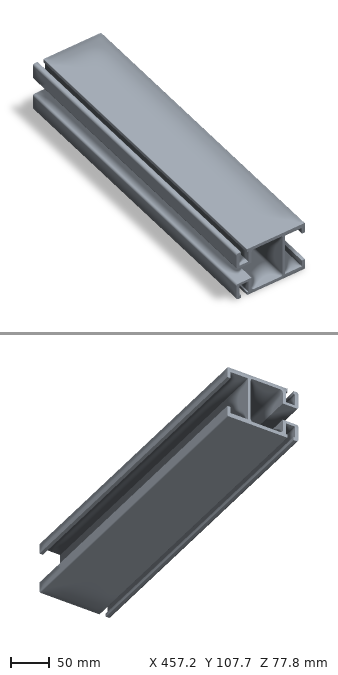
import cadquery as cq

LENGTH = 457.2
DEPTH = 107.7
HEIGHT = 77.79

FLANGE_THICKNESS = 5.0
REAR_FLANGE_THICKNESS = 6.35
WEB_THICKNESS = 4.0
WEB_SETBACK = 31.3
LIP_THICKNESS = 5.0
LIP_HEIGHT = 16.0

CHANNEL_WIDTH = 23.8
CHANNEL_HEIGHT = 26.0
CHANNEL_WALL = 5.0
CHANNEL_FLOOR = 4.0
SLOT_WIDTH = 9.0

REAR_RADIUS = 1.6
FRONT_FLANGE_RADIUS = 3.2
FRONT_CHANNEL_RADIUS = 3.0
SLOT_EDGE_RADIUS = 0.8
WEB_FILLET = 3.2
CHANNEL_FILLET = 4.0

REAR_Y = DEPTH / 2
FRONT_Y = -DEPTH / 2
TOP_Z = HEIGHT / 2

WEB_REAR_Y = REAR_Y - WEB_SETBACK
WEB_FRONT_Y = WEB_REAR_Y - WEB_THICKNESS
CHANNEL_REAR_Y = FRONT_Y + CHANNEL_WIDTH
CHANNEL_CENTRE_Y = FRONT_Y + CHANNEL_WIDTH / 2
CHANNEL_BOTTOM_Z = TOP_Z - CHANNEL_HEIGHT
FLANGE_BOTTOM_Z = TOP_Z - FLANGE_THICKNESS


def bar(y_min, y_max, z_min, z_max):
    """Full-length rectangular bar between the given Y and Z limits."""
    return (
        cq.Workplane("XY")
        .box(LENGTH, y_max - y_min, z_max - z_min)
        .translate((0, (y_min + y_max) / 2, (z_min + z_max) / 2))
    )


def round_edge(body, y, z, radius):
    """Fillet the lengthwise edge that passes through (y, z)."""
    return body.edges(cq.selectors.NearestToPointSelector((0, y, z))).fillet(radius)


def make_upper_half():
    """Flange, rear lip, channel and the upper half of the web."""
    body = bar(FRONT_Y, REAR_Y, 0, TOP_Z)

    rear_bottom_z = TOP_Z - REAR_FLANGE_THICKNESS
    body = body.cut(bar(WEB_REAR_Y, REAR_Y - LIP_THICKNESS, 0, rear_bottom_z))
    body = body.cut(bar(WEB_REAR_Y, REAR_Y, 0, TOP_Z - LIP_HEIGHT))

    body = body.cut(bar(CHANNEL_REAR_Y, WEB_FRONT_Y, 0, FLANGE_BOTTOM_Z))
    body = body.cut(bar(FRONT_Y, WEB_FRONT_Y, 0, CHANNEL_BOTTOM_Z))

    body = round_edge(body, REAR_Y, TOP_Z, REAR_RADIUS)
    body = round_edge(body, FRONT_Y, TOP_Z, FRONT_FLANGE_RADIUS)
    body = round_edge(body, FRONT_Y, CHANNEL_BOTTOM_Z, FRONT_CHANNEL_RADIUS)
    body = round_edge(body, WEB_FRONT_Y, FLANGE_BOTTOM_Z, WEB_FILLET)
    body = round_edge(body, CHANNEL_REAR_Y, FLANGE_BOTTOM_Z, CHANNEL_FILLET)
    return cut_channel(body)


def cut_channel(body):
    """Hollow the channel and open it through the flange with a round-edged slot."""
    hollow = bar(
        FRONT_Y + CHANNEL_WALL,
        CHANNEL_REAR_Y - CHANNEL_WALL,
        CHANNEL_BOTTOM_Z + CHANNEL_FLOOR,
        FLANGE_BOTTOM_Z,
    )
    slot = bar(
        CHANNEL_CENTRE_Y - SLOT_WIDTH / 2,
        CHANNEL_CENTRE_Y + SLOT_WIDTH / 2,
        CHANNEL_BOTTOM_Z + CHANNEL_FLOOR,
        TOP_Z,
    )
    body = body.cut(hollow).cut(slot)
    for side in (-1, 1):
        slot_edge_y = CHANNEL_CENTRE_Y + side * SLOT_WIDTH / 2
        body = round_edge(body, slot_edge_y, TOP_Z, SLOT_EDGE_RADIUS)
    return body


upper_half = make_upper_half()
result = upper_half.union(upper_half.mirror("XY")).clean()